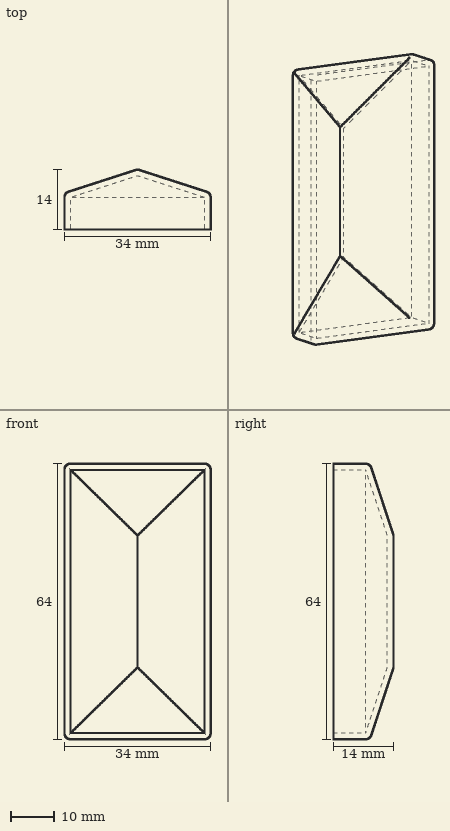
import cadquery as cq

width = 34.0
length = 64.0
total_depth = 14.0
wall = 1.5
edge_radius = 1.5
skirt_depth = 8.5
ridge_length = 30.6

inner_width = width - 2 * wall
inner_length = length - 2 * wall
cavity_depth = total_depth - wall
side_slope = (total_depth - skirt_depth) / (width / 2)
cavity_skirt_depth = cavity_depth - side_slope * inner_width / 2


def hip_roofed_block(size_x, size_z, eaves_y, ridge_y):
    """Block from the rim plane Y = 0 to a hip roof whose ridge runs along Z."""
    half_x = size_x / 2
    half_z = size_z / 2
    half_ridge = ridge_length / 2
    side_slopes = (
        cq.Workplane("XY")
        .polyline([(-half_x, 0), (half_x, 0), (half_x, eaves_y), (0, ridge_y), (-half_x, eaves_y)])
        .close()
        .extrude(half_z, both=True)
    )
    end_slopes = (
        cq.Workplane("YZ")
        .polyline([
            (0, -half_z),
            (eaves_y, -half_z),
            (ridge_y, -half_ridge),
            (ridge_y, half_ridge),
            (eaves_y, half_z),
            (0, half_z),
        ])
        .close()
        .extrude(half_x, both=True)
    )
    return side_slopes.intersect(end_slopes)


def outer_body():
    """Outer block with its four upright corners and its eaves rounded."""
    block = hip_roofed_block(width, length, skirt_depth, total_depth)
    upright_and_eaves_edges = "(|X or |Y or |Z) exc (<Y or >Y)"
    return block.edges(upright_and_eaves_edges).fillet(edge_radius)


cavity = hip_roofed_block(inner_width, inner_length, cavity_skirt_depth, cavity_depth)
result = outer_body().cut(cavity)